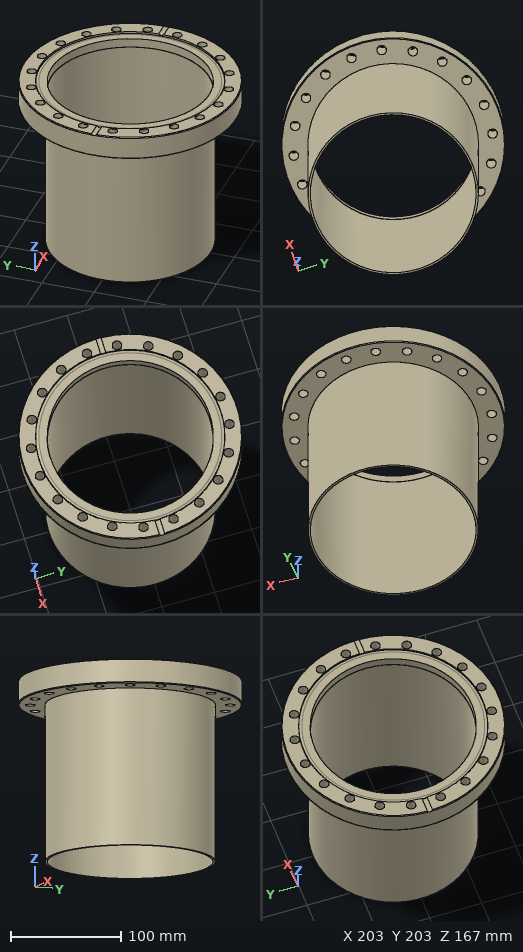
import cadquery as cq

flange_diameter = 203.0
flange_thickness = 22.3
flange_bore = 150.5
edge_chamfer = 0.8

recess_diameter = 171.3
step_diameter = 165.6
recess_depth = 1.8
step_depth = 1.2

bolt_count = 20
bolt_circle = 181.0
bolt_hole_diameter = 8.5

groove_width = 4.9
groove_depth = 1.0

overall_height = 167.0
tube_outer_diameter = 154.0
tube_inner_diameter = 150.0
socket_diameter = 154.5
socket_shoulder_depth = 10.0

flange_bottom = overall_height - flange_thickness
tube_length = overall_height - socket_shoulder_depth


def flange_blank():
    """Revolved ring with the stepped bore and the sealing recess."""
    top = overall_height
    shoulder = top - socket_shoulder_depth
    outline = [
        (socket_diameter / 2, flange_bottom),
        (flange_diameter / 2 - edge_chamfer, flange_bottom),
        (flange_diameter / 2, flange_bottom + edge_chamfer),
        (flange_diameter / 2, top - edge_chamfer),
        (flange_diameter / 2 - edge_chamfer, top),
        (recess_diameter / 2, top),
        (recess_diameter / 2, top - recess_depth),
        (step_diameter / 2, top - step_depth),
        (flange_bore / 2, top - step_depth),
        (flange_bore / 2, shoulder),
        (socket_diameter / 2, shoulder),
    ]
    return cq.Workplane("XZ").polyline(outline).close().revolve(360, (0, 0), (0, 1))


def bolt_holes():
    """Through-hole cutters, half a pitch away from the X axis."""
    return (
        cq.Workplane("XY", origin=(0, 0, flange_bottom))
        .polarArray(bolt_circle / 2, 180 / bolt_count, 360, bolt_count)
        .circle(bolt_hole_diameter / 2)
        .extrude(flange_thickness)
    )


def leak_check_grooves():
    """Round-bottomed cutter along X, reaching from the rim to the recess on both sides."""
    radius = ((groove_width / 2) ** 2 + groove_depth ** 2) / (2 * groove_depth)
    bar = (
        cq.Workplane("YZ", origin=(-flange_diameter / 2, 0, 0))
        .center(0, overall_height - groove_depth + radius)
        .circle(radius)
        .extrude(flange_diameter)
    )
    core = cq.Workplane("XY").circle(recess_diameter / 2).extrude(overall_height + 2 * radius)
    return bar.cut(core)


def make_flange():
    return flange_blank().cut(bolt_holes()).cut(leak_check_grooves())


def make_tube():
    return (
        cq.Workplane("XY")
        .circle(tube_outer_diameter / 2)
        .circle(tube_inner_diameter / 2)
        .extrude(tube_length)
    )


flange = make_flange()
tube = make_tube()

result = cq.Compound.makeCompound([flange.val(), tube.val()])